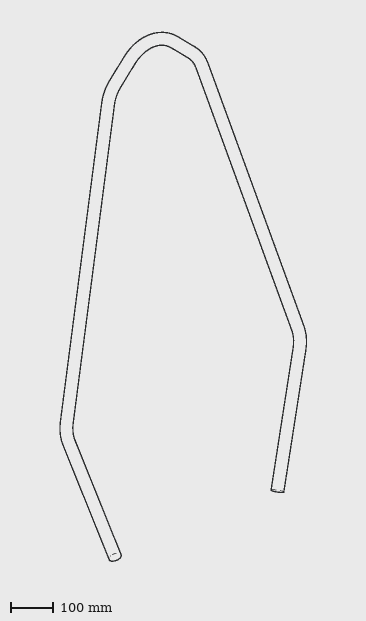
import cadquery as cq
import math

bar_diameter = 31.0
lean_angle = 7.5
lean = math.radians(lean_angle)

foot_half_width, foot_height = 257.0, 5.0
elbow_half_width, elbow_height = 373.0, 355.0
shoulder_half_width, shoulder_height = 141.0, 1139.0
apex_height = 1259.0

elbow_radius = 87.0
shoulder_radius = 87.0
apex_radius = 109.0

bend_plane = cq.Plane(
    origin=(0, 0, 0),
    xDir=(0, 1, 0),
    normal=(math.cos(lean), 0, math.sin(lean)),
)


def corner(half_width, height):
    """Place a centreline corner in the bend plane."""
    return cq.Vector(half_width, height / math.cos(lean))


def mirrored(point):
    return cq.Vector(-point.x, point.y)


def bend(before, vertex, after, radius):
    """Return the start, middle and end of the arc that rounds a corner."""
    to_before = (before - vertex).normalized()
    to_after = (after - vertex).normalized()
    half_angle = to_before.getAngle(to_after) / 2
    tangent_length = radius / math.tan(half_angle)
    inset = radius / math.sin(half_angle) - radius
    middle = vertex + (to_before + to_after).normalized() * inset
    return vertex + to_before * tangent_length, middle, vertex + to_after * tangent_length


def centreline():
    """Run from one foot over the apex to the other foot."""
    foot = corner(foot_half_width, foot_height)
    elbow = corner(elbow_half_width, elbow_height)
    shoulder = corner(shoulder_half_width, shoulder_height)
    apex = corner(0, apex_height)
    corners = [
        foot, elbow, shoulder, apex,
        mirrored(shoulder), mirrored(elbow), mirrored(foot),
    ]
    radii = [elbow_radius, shoulder_radius, apex_radius, shoulder_radius, elbow_radius]

    path = cq.Workplane(bend_plane).moveTo(foot.x, foot.y)
    for before, vertex, after, radius in zip(corners, corners[1:], corners[2:], radii):
        start, middle, end = bend(before, vertex, after, radius)
        path = path.lineTo(start.x, start.y)
        path = path.threePointArc((middle.x, middle.y), (end.x, end.y))
    return path.lineTo(corners[-1].x, corners[-1].y).wire()


path = centreline()
path_wire = path.val()
end_plane = cq.Plane(
    origin=path_wire.startPoint().toTuple(),
    xDir=bend_plane.zDir.toTuple(),
    normal=path_wire.tangentAt(0).toTuple(),
)
result = cq.Workplane(end_plane).circle(bar_diameter / 2).sweep(path)